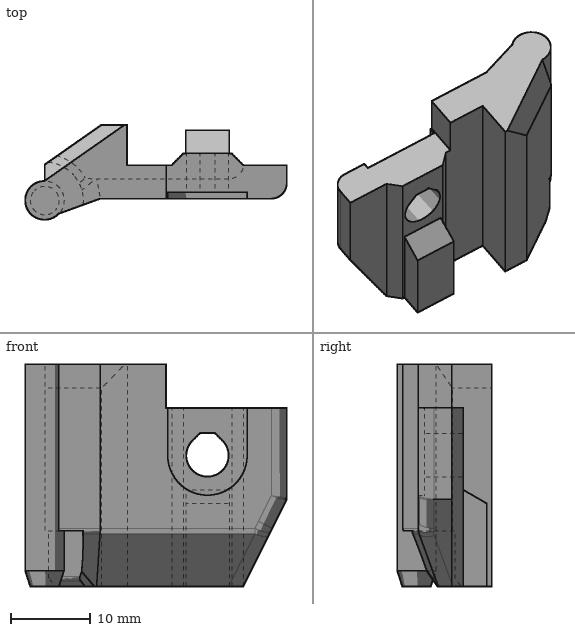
import cadquery as cq
import math

pin_radius = 4.9 / 2
height = 28.0
tip_height = 2.0
tip_inset = 0.65

plate_front = 0.2
plate_back = 4.45
plate_right = 30.5
low_top = 22.5
step_x = 15.3
corner_radius = 2.0
incline_top = 11.0
incline_bottom_x = 25.0

web_angle = 20.0
web_end_x = 7.0

arm_back = 9.5
arm_right = 10.4
arm_angle = 35.0
arm_start = 4.5
arm_chamfer_height = 3.0

undercut_angle = 20.0
undercut_top = 7.0
undercut_blend = 2.0

groove_radius = 4.85
groove_top = 7.0
groove_flare = 1.0
groove_flare_blend = 0.8
relief_normal = (-0.15, -0.75, -0.65)
relief_point = (6.28, 2.65, 0.0)

screw_x = 20.5
screw_z = 16.5
screw_radius = 2.65
screw_shoulder = 45.0
screw_peak = 2.8
pocket_radius = 5.0
pocket_depth = 0.8
rail_half_base = 4.5
rail_height = 1.45
tongue_half_width = 2.75
tongue_back = 8.85
tongue_top = 13.0
tongue_slope = 30.0

margin = 10.0


def tan(angle):
    return math.tan(math.radians(angle))


def sin(angle):
    return math.sin(math.radians(angle))


def cos(angle):
    return math.cos(math.radians(angle))


arm_tip_x = (arm_back - arm_start) / tan(arm_angle)
web_front_y = plate_front - web_end_x * tan(web_angle)
rail_half_top = rail_half_base - rail_height


def extrude_to_back(outline, front, back):
    """Turn an outline in X and Z into a solid reaching from Y = front to Y = back."""
    return outline.extrude(-(back - front)).translate((0, front, 0))


def front_block():
    """Solid behind the shaped front: stepped and inclined outline, undercut, rounded right edge.

    It reaches back to the arm's full depth, so that the rounding has room to run out.
    """
    side = (
        cq.Workplane("XZ")
        .moveTo(0, 0)
        .lineTo(incline_bottom_x, 0)
        .lineTo(plate_right, incline_top)
        .lineTo(plate_right, low_top)
        .lineTo(step_x, low_top)
        .lineTo(step_x, height)
        .lineTo(0, height)
        .close()
    )
    front = (
        cq.Workplane("XY")
        .moveTo(0, arm_back)
        .lineTo(plate_right, arm_back)
        .lineTo(plate_right, plate_front)
        .lineTo(web_end_x, plate_front)
        .lineTo(0, web_front_y)
        .close()
        .extrude(height)
    )
    block = front.intersect(extrude_to_back(side, -margin, arm_back + margin))
    block = block.cut(undercut_prism(0).intersect(undercut_prism(web_angle)))
    right_edge = cq.selectors.BoxSelector(
        (incline_bottom_x, -margin, 0), (plate_right + margin, plate_back, height)
    )
    return block.edges(right_edge).fillet(corner_radius)


def back_plan():
    """Full-height prism whose back carries the arm and the rail."""
    return (
        cq.Workplane("XY")
        .moveTo(0, arm_start)
        .lineTo(arm_tip_x, arm_back)
        .lineTo(arm_right, arm_back)
        .lineTo(arm_right, plate_back)
        .lineTo(screw_x - rail_half_base, plate_back)
        .lineTo(screw_x - rail_half_top, plate_back + rail_height)
        .lineTo(screw_x + rail_half_top, plate_back + rail_height)
        .lineTo(screw_x + rail_half_base, plate_back)
        .lineTo(plate_right, plate_back)
        .lineTo(plate_right, -margin)
        .lineTo(0, -margin)
        .close()
        .extrude(height)
    )


def arm_chamfer():
    """Tool that leans the top of the arm's slanted side in until it meets the pin."""
    across = (sin(arm_angle), -cos(arm_angle), 0)
    along = (-cos(arm_angle), -sin(arm_angle), 0)
    inset = (arm_start - pin_radius) * cos(arm_angle)
    plane = cq.Plane(origin=(0, arm_start, height), xDir=across, normal=along)
    return (
        cq.Workplane(plane)
        .moveTo(0, -arm_chamfer_height)
        .lineTo(inset, 0)
        .lineTo(-margin, 0)
        .lineTo(-margin, -arm_chamfer_height)
        .close()
        .extrude(2 * height, both=True)
    )


def undercut_prism(face_angle):
    """Wedge under a front face that runs through the web's end at face_angle to the X axis."""
    inward = (-sin(face_angle), cos(face_angle), 0)
    along = (cos(face_angle), sin(face_angle), 0)
    plane = cq.Plane(origin=(web_end_x, plate_front, 0), xDir=inward, normal=along)
    blend_reach = undercut_blend * tan(undercut_angle / 2)
    half_turn = undercut_angle / 2
    blend_start = (0, undercut_top + blend_reach)
    blend_middle = (
        undercut_blend * (1 - cos(half_turn)),
        blend_start[1] - undercut_blend * sin(half_turn),
    )
    blend_end = (
        undercut_blend * (1 - cos(undercut_angle)),
        blend_start[1] - undercut_blend * sin(undercut_angle),
    )
    return (
        cq.Workplane(plane)
        .moveTo(*blend_start)
        .threePointArc(blend_middle, blend_end)
        .lineTo(undercut_top * tan(undercut_angle), 0)
        .lineTo(-margin, 0)
        .lineTo(-margin, blend_start[1])
        .close()
        .extrude(2 * height, both=True)
    )


def groove():
    """Cylinder around the pin's lower end, flaring at 45 degrees towards the bottom."""
    rim = groove_radius + groove_flare
    return (
        cq.Workplane("XZ")
        .lineTo(rim, 0)
        .lineTo(groove_radius, groove_flare)
        .lineTo(groove_radius, groove_top)
        .lineTo(0, groove_top)
        .close()
        .revolve(360, (0, 0), (0, 1))
        .edges(cq.selectors.NearestToPointSelector((0, 0, groove_flare)))
        .fillet(groove_flare_blend)
    )


def groove_relief():
    """Block whose flat side trims the web beside the flare."""
    plane = cq.Plane(origin=relief_point, normal=relief_normal)
    return cq.Workplane(plane).rect(2 * margin, 2 * margin).extrude(margin)


def pin():
    shaft = cq.Workplane("XY").circle(pin_radius).extrude(height)
    return shaft.faces("<Z").chamfer(tip_height, tip_inset)


def tongue():
    """Block on the rail below the screw hole, with a sloping roof."""
    drop = (tongue_back - plate_back) * tan(tongue_slope)
    return (
        cq.Workplane("YZ")
        .moveTo(plate_back, 0)
        .lineTo(tongue_back, 0)
        .lineTo(tongue_back, tongue_top - drop)
        .lineTo(plate_back, tongue_top)
        .close()
        .extrude(tongue_half_width, both=True)
        .translate((screw_x, 0, 0))
    )


def screw_pocket():
    """Shallow seat in the front, open at the plate's top and round at the bottom."""
    outline = (
        cq.Workplane("XZ")
        .moveTo(screw_x - pocket_radius, low_top)
        .lineTo(screw_x - pocket_radius, screw_z)
        .threePointArc((screw_x, screw_z - pocket_radius), (screw_x + pocket_radius, screw_z))
        .lineTo(screw_x + pocket_radius, low_top)
        .close()
    )
    return extrude_to_back(outline, plate_front, plate_front + pocket_depth)


def screw_hole():
    """Round hole with straight shoulders, tangent to it, up to a flat roof."""
    tangent_x = screw_radius * sin(screw_shoulder)
    tangent_z = screw_radius * cos(screw_shoulder)
    roof_half = (screw_radius - screw_peak * cos(screw_shoulder)) / sin(screw_shoulder)
    outline = (
        cq.Workplane("XZ")
        .moveTo(screw_x - tangent_x, screw_z + tangent_z)
        .threePointArc((screw_x, screw_z - screw_radius), (screw_x + tangent_x, screw_z + tangent_z))
        .lineTo(screw_x + roof_half, screw_z + screw_peak)
        .lineTo(screw_x - roof_half, screw_z + screw_peak)
        .close()
    )
    return extrude_to_back(outline, -margin, arm_back + margin)


body = front_block().intersect(back_plan())
body = body.cut(arm_chamfer())
body = body.union(tongue())
body = body.cut(screw_pocket()).cut(screw_hole())
body = body.cut(groove()).cut(groove_relief())
result = body.union(pin())